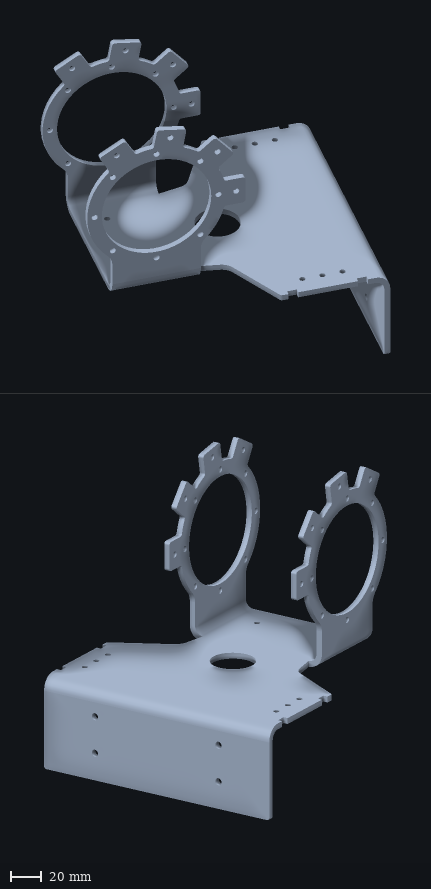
import cadquery as cq
import math


sheet = 4.0
bend_radius = 10.0
bend_inner_radius = bend_radius - sheet
corner_radius = 2.0
blend_radius = 10.0

plate_width = 174.0
back_y = 147.0
shoulder_y = 73.1
waist_half_width = 44.6
waist_y = 49.9
notch_depth = 3.1
notch_length = 6.5
notch_centers_y = (128.6, 81.5)
window_diameter = 30.0
window_y = 57.0
side_hole_spacing = 148.0
side_hole_middle_y = 105.1
side_hole_pitch = 13.5
front_hole_spacing = 50.0
front_hole_y = -9.9
small_hole_diameter = 4.0

rear_flange_drop = 60.0
rear_hole_diameter = 4.8
rear_hole_spacing = 95.5
rear_hole_heights = (-16.0, -41.1)

bracket_span = 102.0
bracket_length = 60.0
ring_center_z = 67.0
ring_radius = 47.0
bore_radius = 37.0
bolt_circle_radius = 42.0
bolt_count = 8
tab_reach = 60.1
tab_width = 20.2
tab_hole_radius = 54.0
tab_angles = (0, 40, 80, 120)

half_width = plate_width / 2
strip_half_width = bracket_span / 2 - bend_radius
strip_half_length = bracket_length / 2
rear_bend_start_y = back_y - bend_radius


def bend_profile(plane):
    """Quarter-ring bend section about the plane origin, from local +Y round to local +X."""
    diagonal = math.sqrt(0.5)
    return (
        cq.Workplane(plane)
        .moveTo(0, bend_inner_radius)
        .lineTo(0, bend_radius)
        .threePointArc((bend_radius * diagonal, bend_radius * diagonal), (bend_radius, 0))
        .lineTo(bend_inner_radius, 0)
        .threePointArc(
            (bend_inner_radius * diagonal, bend_inner_radius * diagonal), (0, bend_inner_radius)
        )
        .close()
    )


def make_base_plate():
    right_side = [
        (strip_half_width, -strip_half_length),
        (strip_half_width, strip_half_length),
        (waist_half_width, waist_y),
        (half_width, shoulder_y),
        (half_width, rear_bend_start_y),
    ]
    left_side = [(-x, y) for x, y in reversed(right_side)]
    plate = cq.Workplane("XY").polyline(right_side + left_side).close().extrude(sheet)

    for side in (-1, 1):
        waist_point = (side * waist_half_width, waist_y, sheet / 2)
        plate = plate.edges(cq.selectors.NearestToPointSelector(waist_point)).fillet(blend_radius)
        shoulder_point = (side * half_width, shoulder_y, sheet / 2)
        plate = plate.edges(cq.selectors.NearestToPointSelector(shoulder_point)).fillet(corner_radius)

    notches = (
        cq.Workplane("XY")
        .pushPoints([(side * half_width, y) for side in (-1, 1) for y in notch_centers_y])
        .rect(2 * notch_depth, notch_length)
        .extrude(sheet)
    )
    small_holes = (
        cq.Workplane("XY")
        .center(0, side_hole_middle_y)
        .rarray(side_hole_spacing, side_hole_pitch, 2, 3)
        .circle(small_hole_diameter / 2)
        .center(0, front_hole_y - side_hole_middle_y)
        .rarray(front_hole_spacing, 2, 2, 1)
        .circle(small_hole_diameter / 2)
        .extrude(sheet)
    )
    window = cq.Workplane("XY").center(0, window_y).circle(window_diameter / 2).extrude(sheet)
    return plate.cut(notches).cut(small_holes).cut(window)


def make_rear_flange():
    bend_center_z = sheet - bend_radius
    bend_plane = cq.Plane((-half_width, rear_bend_start_y, bend_center_z), (0, 1, 0), (1, 0, 0))
    bend = bend_profile(bend_plane).extrude(plate_width)

    wall_height = rear_flange_drop + bend_center_z
    wall = (
        cq.Workplane("XY")
        .box(plate_width, sheet, wall_height, centered=(True, False, False))
        .translate((0, back_y - sheet, -rear_flange_drop))
        .edges("|Y and <Z")
        .fillet(corner_radius)
    )
    holes = (
        cq.Workplane("XZ", origin=(0, back_y, 0))
        .pushPoints([(side * rear_hole_spacing / 2, z) for side in (-1, 1) for z in rear_hole_heights])
        .circle(rear_hole_diameter / 2)
        .extrude(sheet)
    )
    return bend.union(wall.cut(holes))


def make_ring_bracket():
    """Bracket on the +X side: bend, neck and tabbed ring."""
    bend_plane = cq.Plane(
        (strip_half_width, strip_half_length, bend_radius), (1, 0, 0), (0, 1, 0)
    )
    bend = bend_profile(bend_plane).extrude(-bracket_length)

    inner_face_x = bracket_span / 2 - sheet
    ring_plane = cq.Workplane("YZ", origin=(inner_face_x, 0, ring_center_z))

    ring = ring_plane.circle(ring_radius).extrude(sheet)
    for angle in tab_angles:
        tab = ring_plane.center(tab_reach / 2, 0).rect(tab_reach, tab_width).extrude(sheet)
        tab = tab.rotate((0, 0, ring_center_z), (1, 0, ring_center_z), angle)
        ring = ring.union(tab)
    ring = ring.edges("|X").fillet(corner_radius)

    neck_height = ring_center_z - bend_radius
    neck = ring_plane.center(0, -neck_height / 2).rect(bracket_length, neck_height).extrude(sheet)
    plate = ring.union(neck)
    neck_top_z = ring_center_z - math.sqrt(ring_radius**2 - strip_half_length**2)
    for side in (-1, 1):
        neck_point = (inner_face_x + sheet / 2, side * strip_half_length, neck_top_z)
        plate = plate.edges(cq.selectors.NearestToPointSelector(neck_point)).fillet(blend_radius)

    bore = ring_plane.circle(bore_radius).extrude(sheet)
    bolt_holes = (
        ring_plane.polarArray(bolt_circle_radius, 0, 360, bolt_count)
        .circle(small_hole_diameter / 2)
        .extrude(sheet)
    )
    tab_hole_points = [
        (tab_hole_radius * math.cos(math.radians(a)), tab_hole_radius * math.sin(math.radians(a)))
        for a in tab_angles
    ]
    tab_holes = ring_plane.pushPoints(tab_hole_points).circle(small_hole_diameter / 2).extrude(sheet)
    return plate.cut(bore).cut(bolt_holes).cut(tab_holes).union(bend)


right_bracket = make_ring_bracket()
left_bracket = right_bracket.mirror("YZ")
result = make_base_plate().union(make_rear_flange()).union(right_bracket).union(left_bracket)